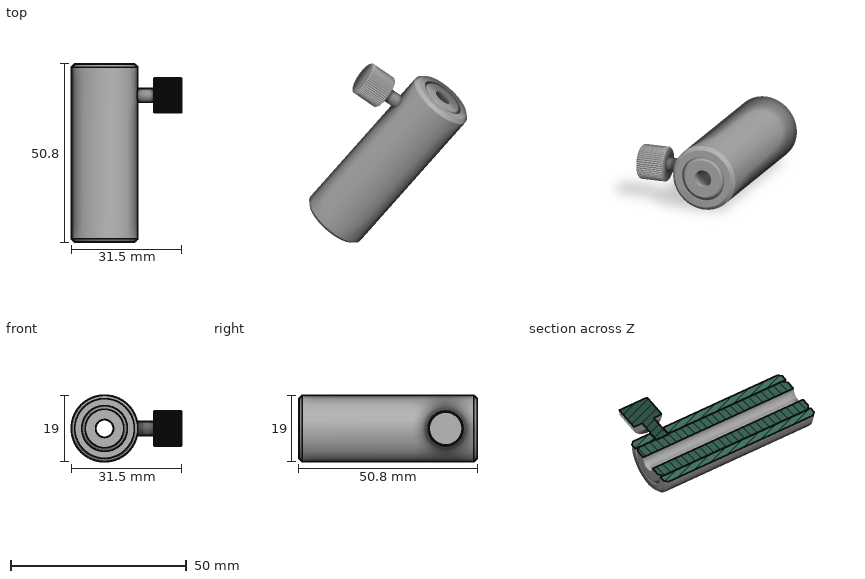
import cadquery as cq
import math

housing_diameter = 19.0
housing_length = 50.8
edge_chamfer = 1.0

core_diameter = 13.0
core_bore_diameter = 5.0

stem_diameter = 4.0
knob_diameter = 10.0
knob_length = 8.0
knob_end_x = 22.0
knob_start_x = knob_end_x - knob_length
screw_from_back = 9.0
screw_y = housing_length - screw_from_back
stem_tip_x = core_diameter / 2

groove_count = 50
groove_width = 0.5
groove_depth = groove_width / 2
groove_pitch_angle = 2 * math.pi / groove_count
knob_chamfer = 0.3


def cylinder_along_y(diameter, length):
    return cq.Workplane("XZ").circle(diameter / 2).extrude(-length)


def screw_plane(x):
    """Plane facing +X on the screw axis; its local axes are global Y and Z."""
    return cq.Workplane("YZ", origin=(x, screw_y, 0))


def make_stem():
    return screw_plane(stem_tip_x).circle(stem_diameter / 2).extrude(knob_start_x - stem_tip_x)


def make_housing():
    sleeve = cylinder_along_y(housing_diameter, housing_length)
    sleeve = sleeve.faces("<Y or >Y").chamfer(edge_chamfer)
    sleeve = sleeve.cut(cylinder_along_y(core_diameter, housing_length))
    return sleeve.cut(make_stem())


def make_core():
    tube = cylinder_along_y(core_diameter, housing_length)
    tube = tube.faces("<Y or >Y").chamfer(edge_chamfer)
    return tube.cut(cylinder_along_y(core_bore_diameter, housing_length))


def polar_point(radius, angle):
    return (radius * math.cos(angle), radius * math.sin(angle))


def knurl_outline():
    """Knob section: a V groove centred on every pitch angle, round lands between."""
    land_radius = knob_diameter / 2
    root_radius = land_radius - groove_depth
    groove_half_angle = math.asin(groove_width / 2 / land_radius)
    outline = screw_plane(knob_start_x).moveTo(*polar_point(land_radius, -groove_half_angle))
    for groove in range(groove_count):
        centre_angle = groove * groove_pitch_angle
        land_start = centre_angle + groove_half_angle
        land_middle = centre_angle + groove_pitch_angle / 2
        land_end = centre_angle + groove_pitch_angle - groove_half_angle
        outline = outline.lineTo(*polar_point(root_radius, centre_angle))
        outline = outline.lineTo(*polar_point(land_radius, land_start))
        outline = outline.threePointArc(
            polar_point(land_radius, land_middle),
            polar_point(land_radius, land_end),
        )
    return outline.close()


def make_knob():
    grooved_bar = knurl_outline().extrude(knob_length)
    chamfered_blank = screw_plane(knob_start_x).circle(knob_diameter / 2).extrude(knob_length)
    chamfered_blank = chamfered_blank.faces("<X or >X").chamfer(knob_chamfer)
    return grooved_bar.intersect(chamfered_blank)


housing = make_housing()
core = make_core()
thumbscrew = make_stem().union(make_knob())

result = cq.Compound.makeCompound([housing.val(), core.val(), thumbscrew.val()])